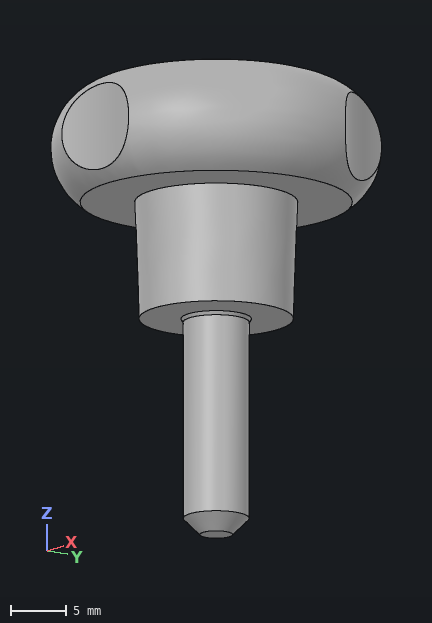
import cadquery as cq
import math

total_height = 42.0

grip_diameter = 30.0
grip_radius = grip_diameter / 2
ring_radius = 6.0
ring_center_radius = grip_radius - ring_radius
ring_center_z = total_height - ring_radius
dish_depth = 1.0
flat_offset = ring_radius - dish_depth
flat_half_width = math.sqrt(ring_radius**2 - flat_offset**2)
dish_z = ring_center_z + flat_offset
grip_bottom_z = ring_center_z - flat_offset

hub_top_radius = 7.4
hub_bottom_radius = 7.0
hub_bottom_z = 20.1

pin_diameter = 6.0
pin_radius = pin_diameter / 2
pin_chamfer = 1.5
collar_radius = 3.2
collar_height = 0.35

scallop_count = 3
scallop_radius = 16.0
scallop_floor_radius = 13.5


def make_body():
    """Revolve the complete half profile about the Z axis."""
    dish_radius = ring_center_radius - flat_half_width
    grip_bottom_radius = ring_center_radius + flat_half_width
    collar_bottom_z = hub_bottom_z - collar_height
    profile = (
        cq.Workplane("XZ")
        .moveTo(0, 0)
        .lineTo(pin_radius - pin_chamfer, 0)
        .lineTo(pin_radius, pin_chamfer)
        .lineTo(pin_radius, collar_bottom_z)
        .lineTo(collar_radius, hub_bottom_z)
        .lineTo(hub_bottom_radius, hub_bottom_z)
        .lineTo(hub_top_radius, grip_bottom_z)
        .lineTo(grip_bottom_radius, grip_bottom_z)
        .threePointArc((grip_radius, ring_center_z), (dish_radius, dish_z))
        .lineTo(0, dish_z)
        .close()
    )
    return profile.revolve(360, (0, 0, 0), (0, 1, 0))


def make_scallop_cutters():
    """Vertical cylinders spaced evenly around the grip, the first on the -Y side."""
    return (
        cq.Workplane("XY")
        .workplane(offset=grip_bottom_z)
        .polarArray(scallop_floor_radius + scallop_radius, -90, 360, scallop_count)
        .circle(scallop_radius)
        .extrude(total_height - grip_bottom_z)
    )


result = make_body().cut(make_scallop_cutters())